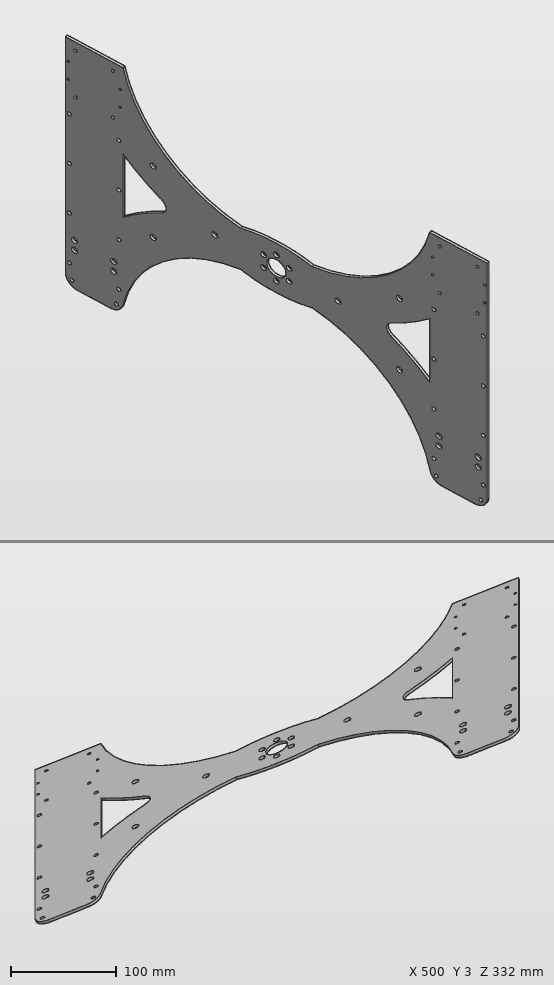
import cadquery as cq
import math

thickness = 3.0
height = 332.0
half_width = 250.0
top_z = 158.5
bottom_z = top_z - height
corner_radius = 15.0

scallop_radius = 168.5
scallop_x = 17.0
scallop_z = 194.3

panel_inner_x = scallop_x + math.sqrt(scallop_radius**2 - (scallop_z - top_z) ** 2)
panel_mid_x = 216.0

bulge_radius = 150.0
bulge_top_z = 33.3
bulge_end_x = 42.5

window_corner_z = 42.3
window_nose_x = 119.0
window_side_radius = 240.0
window_nose_radius = 10.0

bore_diameter = 22.5
hub_hole_diameter = 6.5
hub_hole_circle_radius = 17.4
hub_hole_count = 6

arm_hole_diameter = 7.0
arm_axis_hole_x = 73.0
arm_side_hole_x = 146.0
arm_side_hole_z = 48.0

row_hole_diameter = 4.5
row_half_span = 29.3
row_top_z = 57.7
row_pitch = 200.0 / 3
row_count = 4

bracket_mid_z = 115.3
bracket_outer_diameter = 3.5
bracket_outer_half_span = 22.2
bracket_outer_half_rise = 31.3
bracket_inner_diameter = 2.5
bracket_inner_half_span = 30.8
bracket_inner_half_rise = 12.0

mount_diameter = 7.0
mount_half_span = 23.2
mount_mid_z = -115.2
mount_half_rise = 6.6
foot_diameter = 4.4
foot_half_span = 26.3
foot_z = -164.0


def scallop_height(x):
    """Z of the upper scallop, on its lower half, at a given X."""
    return scallop_z - math.sqrt(scallop_radius**2 - (x - scallop_x) ** 2)


def prism(sketch):
    """Extrude an XZ outline through the plate thickness, centred on Y = 0."""
    return sketch.extrude(thickness / 2, both=True)


def mirrored(shape):
    """The shape together with its mirror image about X = 0."""
    return shape.union(shape.mirror("YZ"))


def make_plate():
    """Right half of the plate outline, mirrored, with the foot corners rounded."""
    bulge_end_z = scallop_height(bulge_end_x)
    scallop_mid_x = (bulge_end_x + panel_inner_x) / 2
    scallop_mid_z = scallop_height(scallop_mid_x)
    foot_inner_x = scallop_x + math.sqrt(scallop_radius**2 - (scallop_z + bottom_z) ** 2)
    half = prism(
        cq.Workplane("XZ")
        .moveTo(0, bulge_top_z)
        .radiusArc((bulge_end_x, bulge_end_z), bulge_radius)
        .threePointArc((scallop_mid_x, scallop_mid_z), (panel_inner_x, top_z))
        .lineTo(half_width, top_z)
        .lineTo(half_width, bottom_z)
        .lineTo(foot_inner_x, bottom_z)
        .threePointArc((scallop_mid_x, -scallop_mid_z), (bulge_end_x, -bulge_end_z))
        .radiusArc((0, -bulge_top_z), bulge_radius)
        .close()
    )
    return mirrored(half.faces("<Z").edges("|Y").fillet(corner_radius))


def make_windows():
    """Three-sided window with a rounded nose towards the hub, on both arms."""
    window = prism(
        cq.Workplane("XZ")
        .moveTo(window_nose_x, 0)
        .radiusArc((panel_inner_x, window_corner_z), -window_side_radius)
        .lineTo(panel_inner_x, -window_corner_z)
        .radiusArc((window_nose_x, 0), -window_side_radius)
        .close()
    )
    return mirrored(window.edges("|Y").edges("<X").fillet(window_nose_radius))


def pins(points, diameter):
    """Cutting cylinders through the plate at the given XZ points."""
    return prism(cq.Workplane("XZ").pushPoints(points).circle(diameter / 2))


def panel_points(half_span, heights):
    """Points on both panels, to either side of each panel's centre line."""
    return [
        (side * (panel_mid_x + offset), z)
        for side in (-1, 1)
        for offset in (-half_span, half_span)
        for z in heights
    ]


def pair(middle, half_rise):
    """Two heights, above and below a middle height."""
    return (middle - half_rise, middle + half_rise)


def cut_hub_holes(plate):
    """Central bore and the ring of holes around it."""
    ring = [
        (hub_hole_circle_radius * math.sin(angle), hub_hole_circle_radius * math.cos(angle))
        for angle in (i * 2 * math.pi / hub_hole_count for i in range(hub_hole_count))
    ]
    return plate.cut(pins([(0, 0)], bore_diameter)).cut(pins(ring, hub_hole_diameter))


def cut_arm_holes(plate):
    """One hole on each arm's axis and two beside each window."""
    points = []
    for side in (-1, 1):
        points.append((side * arm_axis_hole_x, 0))
        points.append((side * arm_side_hole_x, arm_side_hole_z))
        points.append((side * arm_side_hole_x, -arm_side_hole_z))
    return plate.cut(pins(points, arm_hole_diameter))


def cut_panel_holes(plate):
    """Every hole pattern that repeats on both panels."""
    row_heights = [row_top_z - i * row_pitch for i in range(row_count)]
    bracket_outer_heights = pair(bracket_mid_z, bracket_outer_half_rise)
    bracket_inner_heights = pair(bracket_mid_z, bracket_inner_half_rise)
    mount_heights = pair(mount_mid_z, mount_half_rise)
    patterns = [
        (row_half_span, row_heights, row_hole_diameter),
        (bracket_outer_half_span, bracket_outer_heights, bracket_outer_diameter),
        (bracket_inner_half_span, bracket_inner_heights, bracket_inner_diameter),
        (mount_half_span, mount_heights, mount_diameter),
        (foot_half_span, [foot_z], foot_diameter),
    ]
    for half_span, heights, diameter in patterns:
        plate = plate.cut(pins(panel_points(half_span, heights), diameter))
    return plate


plate = make_plate().cut(make_windows())
plate = cut_hub_holes(plate)
plate = cut_arm_holes(plate)
result = cut_panel_holes(plate)